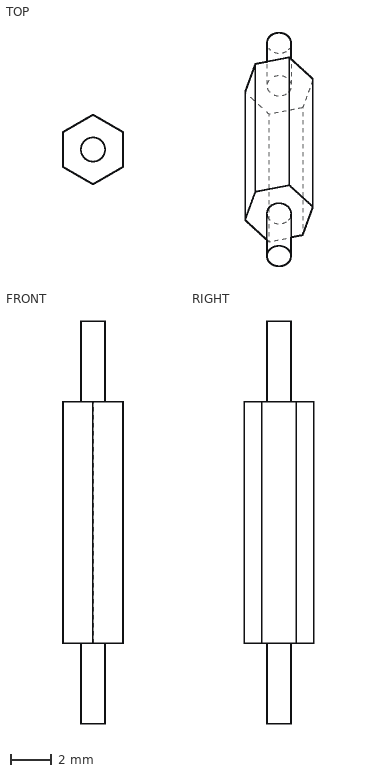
import cadquery as cq
import math

total_length = 20.0
hex_length = 12.0
hex_across_flats = 3.0
pin_diameter = 1.2

hex_across_corners = hex_across_flats / math.cos(math.pi / 6)

hex_body = (
    cq.Workplane("XY")
    .polygon(6, hex_across_corners)
    .extrude(hex_length / 2, both=True)
    .rotate((0, 0, 0), (0, 0, 1), 30)
)

pin = cq.Workplane("XY").circle(pin_diameter / 2).extrude(total_length / 2, both=True)

result = hex_body.union(pin)